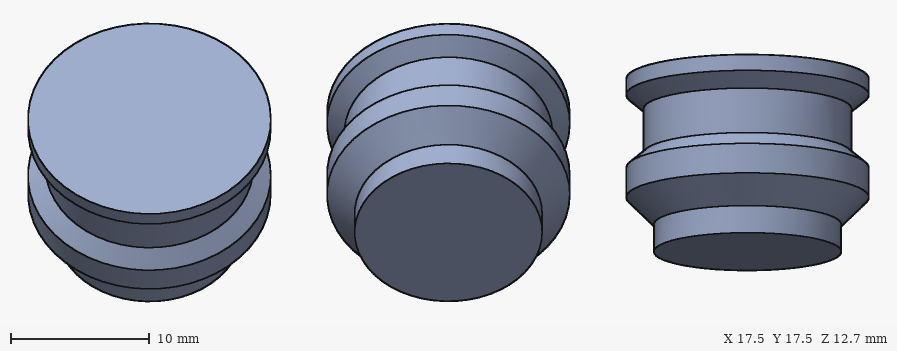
import cadquery as cq

total_height = 12.7
rim_radius = 8.75
foot_radius = 6.75
groove_radius = 7.5

foot_height = 2.0
lower_cone_height = rim_radius - foot_radius
lower_rim_height = 2.17
groove_chamfer_height = 1.05
top_rim_height = 1.17

flare_top = foot_height + lower_cone_height
lower_rim_top = flare_top + lower_rim_height
groove_bottom = lower_rim_top + groove_chamfer_height
top_rim_bottom = total_height - top_rim_height
groove_top = top_rim_bottom - groove_chamfer_height

half_outline = (
    cq.Workplane("XZ")
    .moveTo(0, 0)
    .lineTo(foot_radius, 0)
    .lineTo(foot_radius, foot_height)
    .lineTo(rim_radius, flare_top)
    .lineTo(rim_radius, lower_rim_top)
    .lineTo(groove_radius, groove_bottom)
    .lineTo(groove_radius, groove_top)
    .lineTo(rim_radius, top_rim_bottom)
    .lineTo(rim_radius, total_height)
    .lineTo(0, total_height)
    .close()
)

result = half_outline.revolve(360, (0, 0, 0), (0, 1, 0))